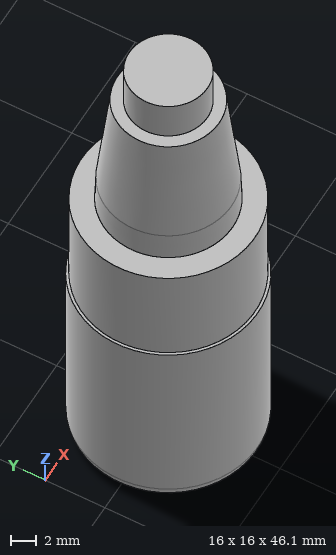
import cadquery as cq

total_height = 46.1

cap_radius = 8.0
cap_height = 19.3
cap_bottom_fillet = 1.5

collar_radius = 7.75
collar_height = 9.85
neck_bottom_radius = 5.75
neck_top_radius = 5.65
neck_height = 2.75
nose_top_radius = 4.55
stub_radius = 3.5
stub_height = 3.9

collar_top = cap_height + collar_height
neck_top = collar_top + neck_height
nose_top = total_height - stub_height


def make_cap():
    """Solid cylinder with a rounded bottom edge."""
    cylinder = cq.Workplane("XY").circle(cap_radius).extrude(cap_height)
    return cylinder.faces("<Z").edges().fillet(cap_bottom_fillet)


def make_upper_body():
    """Turned body seated on the cap, revolved from its half profile about Z."""
    half_profile = (
        cq.Workplane("XZ")
        .moveTo(0, cap_height)
        .lineTo(collar_radius, cap_height)
        .lineTo(collar_radius, collar_top)
        .lineTo(neck_bottom_radius, collar_top)
        .lineTo(neck_top_radius, neck_top)
        .lineTo(nose_top_radius, nose_top)
        .lineTo(stub_radius, nose_top)
        .lineTo(stub_radius, total_height)
        .lineTo(0, total_height)
        .close()
    )
    return half_profile.revolve(360, (0, 0, 0), (0, 1, 0))


cap = make_cap()
upper_body = make_upper_body()

result = cq.Compound.makeCompound([cap.val(), upper_body.val()])